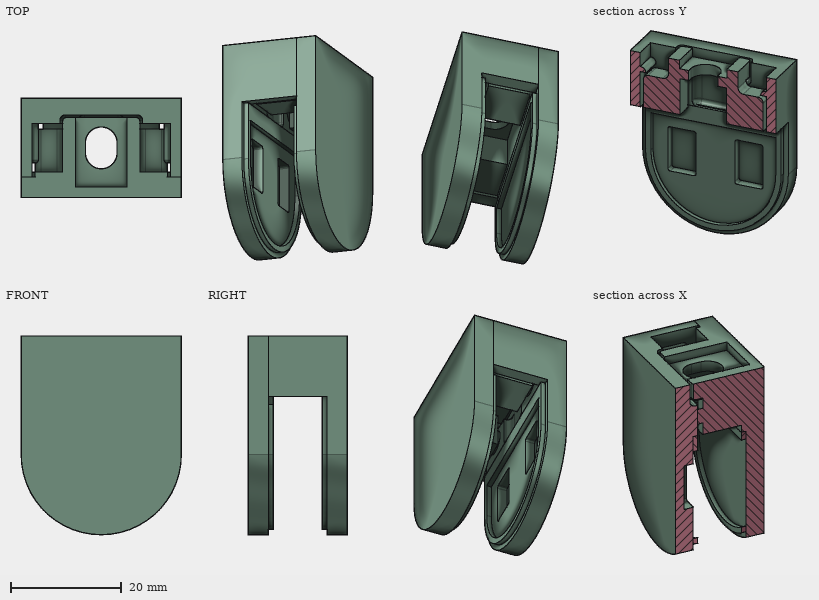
import cadquery as cq
import math


HEIGHT = 36.0
DEPTH = 18.0
HALF_WIDTH = 14.5
ARC_Z = HALF_WIDTH - HEIGHT

JAW_THICKNESS = 3.7
REAR_JAW_Y = DEPTH - JAW_THICKNESS
BRIDGE_Z = -10.98
JAW_POCKET_INNER_X = 3.9
JAW_POCKET_OUTER_X = 9.45
JAW_POCKET_TOP_Z = -16.55
JAW_POCKET_BOTTOM_Z = -25.45
JAW_POCKET_DEPTH = 1.8
JAW_POCKET_CORNER_RADIUS = 0.45

GASKET_THICKNESS = 0.9
GASKET_INSET = 1.0
GASKET_RIM = 1.08
FRONT_GASKET_TOP_Z = -12.42
GASKET_OPENING_TOP_Z = -14.05
GASKET_HALF_WIDTH = HALF_WIDTH - GASKET_INSET
FRONT_GASKET_INNER_Y = JAW_THICKNESS + GASKET_THICKNESS
REAR_GASKET_INNER_Y = REAR_JAW_Y - GASKET_THICKNESS

COVER_HALF_WIDTH = 11.95
BOSS_HALF_WIDTH = 7.0
BOSS_REAR_Y = 14.5
BOSS_CORNER_RADIUS = 0.72
BOSS_BOTTOM_Z = -3.78
BOSS_BOTTOM_CHAMFER = 0.6
ARM_GAP_HALF_WIDTH = 4.6
SCREW_TROUGH_HALF_WIDTH = 4.68
SCREW_TROUGH_FRONT_Y = 1.95
SCREW_TROUGH_DEPTH = 1.7
SCREW_SLOT_WIDTH = 5.7
SCREW_SLOT_LENGTH = 7.52
ARM_TOP_Z = -4.3
ARM_END_Y = 12.4
ARM_FILLET = 1.0
LUG_X = 8.28
LUG_RADIUS = 2.25
LUG_TOP_Z = -4.8

CAVITY_HALF_WIDTH = 12.5
LEDGE_RADIUS = 1.1
LEDGE_BOTTOM_Z = -3.92
LEDGE_FRONT_Y = 6.25
LEDGE_END_ROUND = 0.55
RECESS_HALF_WIDTH = 7.5
RECESS_REAR_Y = 14.98
RECESS_FLOOR_Z = -4.65
RECESS_CORNER_RADIUS = 1.05
RECESS_FLOOR_FILLET = 1.0
GROOVE_HALF_WIDTH = 4.2
GROOVE_CORNER_RADIUS = 1.2

SIDES = (-1, 1)


def box(x_start, x_end, y_start, y_end, z_start, z_end):
    """Axis-aligned block between the given limits."""
    size = (x_end - x_start, y_end - y_start, z_end - z_start)
    return cq.Workplane("XY").box(*size, centered=False).translate((x_start, y_start, z_start))


def centred_box(half_width, y_start, y_end, z_start, z_end):
    """Block that is symmetric about X = 0."""
    return box(-half_width, half_width, y_start, y_end, z_start, z_end)


def side_box(side, x_inner, x_outer, y_start, y_end, z_start, z_end):
    """Block on one side of X = 0, its X limits given as distances from that plane."""
    x_start, x_end = sorted((side * x_inner, side * x_outer))
    return box(x_start, x_end, y_start, y_end, z_start, z_end)


def rounded_plate(half_width, top_z, y_start, y_end):
    """Upright plate with a flat top and a half-round lower end."""
    return (
        cq.Workplane("XZ", origin=(0, y_end, 0))
        .moveTo(-half_width, top_z)
        .lineTo(half_width, top_z)
        .lineTo(half_width, ARC_Z)
        .threePointArc((0, ARC_Z - half_width), (-half_width, ARC_Z))
        .close()
        .extrude(y_end - y_start)
    )


def make_gasket(top_z, y_start, y_end):
    """Thin open frame that follows the jaw outline."""
    outer = rounded_plate(GASKET_HALF_WIDTH, top_z, y_start, y_end)
    opening = rounded_plate(GASKET_HALF_WIDTH - GASKET_RIM, GASKET_OPENING_TOP_Z, y_start, y_end)
    return outer.cut(opening)


def catch_ledge(side):
    """Quarter-round ledge on a cavity side wall, with its front end rounded."""
    wall_x = side * CAVITY_HALF_WIDTH
    arc_reach = LEDGE_RADIUS * math.sqrt(0.5)
    ledge = (
        cq.Workplane("XZ", origin=(wall_x, REAR_GASKET_INNER_Y, LEDGE_BOTTOM_Z))
        .lineTo(0, LEDGE_RADIUS)
        .threePointArc((-side * arc_reach, arc_reach), (-side * LEDGE_RADIUS, 0))
        .close()
        .extrude(REAR_GASKET_INNER_Y - LEDGE_FRONT_Y)
    )
    return ledge.faces("<Y").edges("%CIRCLE").fillet(LEDGE_END_ROUND)


def boss_recess():
    """Hollow around the rear of the boss, with a rounded floor."""
    recess = centred_box(RECESS_HALF_WIDTH, JAW_THICKNESS, RECESS_REAR_Y, RECESS_FLOOR_Z, 0)
    recess = recess.edges("|Z and >Y").fillet(RECESS_CORNER_RADIUS)
    return recess.faces("<Z").edges("not <Y").fillet(RECESS_FLOOR_FILLET)


def screw_groove():
    """Upright groove that gives the screw clearance behind the boss."""
    groove = centred_box(GROOVE_HALF_WIDTH, JAW_THICKNESS, RECESS_REAR_Y, BRIDGE_Z, 0)
    groove = groove.edges("|Z and >Y").fillet(GROOVE_CORNER_RADIUS)
    return groove.faces("<Z").edges("not <Y").fillet(RECESS_FLOOR_FILLET)


def jaw_pocket(side):
    """Blind pocket in the inner face of the rear jaw."""
    pocket = side_box(
        side,
        JAW_POCKET_INNER_X,
        JAW_POCKET_OUTER_X,
        REAR_JAW_Y,
        REAR_JAW_Y + JAW_POCKET_DEPTH,
        JAW_POCKET_BOTTOM_Z,
        JAW_POCKET_TOP_Z,
    )
    return pocket.edges("|Y").fillet(JAW_POCKET_CORNER_RADIUS)


def make_housing():
    """Rear jaw and bridge, hollowed to take the cover."""
    housing = rounded_plate(HALF_WIDTH, 0, REAR_JAW_Y, DEPTH)
    housing = housing.union(centred_box(HALF_WIDTH, JAW_THICKNESS, REAR_JAW_Y, BRIDGE_Z, 0))
    housing = housing.cut(centred_box(CAVITY_HALF_WIDTH, JAW_THICKNESS, REAR_GASKET_INNER_Y, BRIDGE_Z, 0))
    housing = housing.cut(boss_recess()).cut(screw_groove())
    for side in SIDES:
        housing = housing.union(catch_ledge(side)).cut(jaw_pocket(side))
    return housing


def cover_arms():
    """Both arms as one bar with rounded tips, blended into the sides of the boss."""
    arms = centred_box(COVER_HALF_WIDTH, JAW_THICKNESS, ARM_END_Y, BRIDGE_Z, ARM_TOP_Z)
    arms = arms.edges("|Y and >Z").fillet(ARM_FILLET)
    arms = arms.union(centred_box(BOSS_HALF_WIDTH, JAW_THICKNESS, ARM_END_Y, BRIDGE_Z, 0))
    for side in SIDES:
        root_point = (side * BOSS_HALF_WIDTH, (JAW_THICKNESS + ARM_END_Y) / 2, ARM_TOP_Z)
        arms = arms.edges(cq.NearestToPointSelector(root_point)).fillet(ARM_FILLET)
    return arms


def end_lug(side):
    """Round lug that closes the rear end of an arm."""
    return (
        cq.Workplane("XZ", origin=(side * LUG_X, REAR_GASKET_INNER_Y, LUG_TOP_Z - LUG_RADIUS))
        .circle(LUG_RADIUS)
        .extrude(REAR_GASKET_INNER_Y - ARM_END_Y)
    )


def screw_slot():
    """Obround through hole for the clamping screw."""
    return (
        cq.Workplane("XY", origin=(0, DEPTH / 2, 0))
        .slot2D(SCREW_SLOT_LENGTH, SCREW_SLOT_WIDTH, 90)
        .extrude(BRIDGE_Z)
    )


def make_cover():
    """Front jaw with the boss and arms that reach into the housing."""
    boss = centred_box(BOSS_HALF_WIDTH, JAW_THICKNESS, BOSS_REAR_Y, BOSS_BOTTOM_Z, 0)
    boss = boss.edges("|Z and >Y").fillet(BOSS_CORNER_RADIUS)
    boss = boss.faces("<Z").edges("|Y").chamfer(BOSS_BOTTOM_CHAMFER)
    cover = cover_arms()
    for side in SIDES:
        cover = cover.union(end_lug(side))
    cover = cover.cut(
        centred_box(ARM_GAP_HALF_WIDTH, FRONT_GASKET_INNER_Y, ARM_END_Y, BRIDGE_Z, BOSS_BOTTOM_Z)
    )
    cover = cover.union(boss)
    cover = cover.union(rounded_plate(HALF_WIDTH, 0, 0, JAW_THICKNESS))
    cover = cover.union(
        centred_box(COVER_HALF_WIDTH, JAW_THICKNESS, FRONT_GASKET_INNER_Y, FRONT_GASKET_TOP_Z, 0)
    )
    cover = cover.cut(
        centred_box(SCREW_TROUGH_HALF_WIDTH, SCREW_TROUGH_FRONT_Y, BOSS_REAR_Y, -SCREW_TROUGH_DEPTH, 0)
    )
    return cover.cut(screw_slot())


housing = make_housing()
cover = make_cover()
front_gasket = make_gasket(FRONT_GASKET_TOP_Z, JAW_THICKNESS, FRONT_GASKET_INNER_Y)
rear_gasket = make_gasket(BRIDGE_Z, REAR_GASKET_INNER_Y, REAR_JAW_Y)

result = cq.Compound.makeCompound(
    [body.solids().val() for body in (housing, cover, front_gasket, rear_gasket)]
)